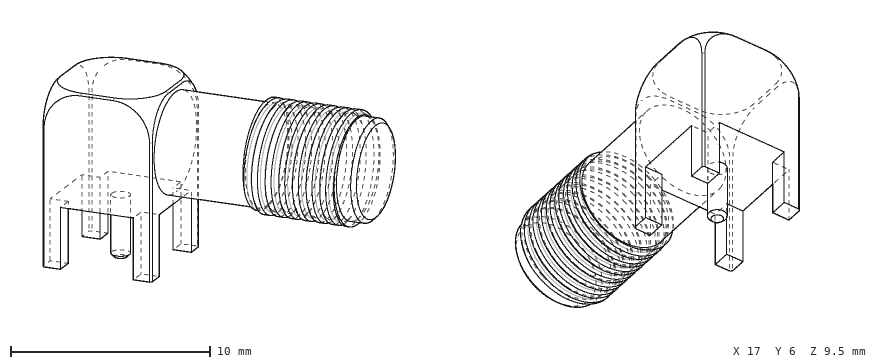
import cadquery as cq
import math

total_length = 17.0
total_height = 9.5
body_width = 6.0
body_center_x = body_width / 2

edge_inset = 0.11
face_arc_radius = 1.99
arc_center_inset = edge_inset + face_arc_radius
rounding_radius = math.hypot(arc_center_inset, face_arc_radius)

leg_width = 1.0
leg_length = 3.3
leg_gap = body_width - 2 * leg_width
pin_diameter = 1.0
pin_chamfer = 0.19

barrel_diameter = 5.35
barrel_axis_z = total_height - body_width / 2
barrel_chamfer = 0.22

thread_start_x = 11.0
thread_length = 5.0
thread_diameter = 5.93
thread_root_diameter = 5.47
thread_pitch = 0.75
groove_offset = 0.076
groove_top_width = 0.42
flank_angle = math.radians(30)
groove_overcut = 0.07


def make_body():
    """Square block whose upper and upright edges are trimmed by a larger rounded block."""
    block = cq.Workplane("XY").box(body_width, body_width, total_height, centered=(True, True, False))
    overhang = rounding_radius - arc_center_inset
    envelope_width = body_width + 2 * overhang
    envelope = (
        cq.Workplane("XY")
        .box(envelope_width, envelope_width, total_height + overhang, centered=(True, True, False))
        .edges("|Z or >Z")
        .fillet(rounding_radius)
    )
    return block.intersect(envelope).translate((body_center_x, 0, 0))


def cut_leg_gaps(body):
    """Two crossing slots leave a leg at each corner."""
    for size_x, size_y in ((body_width, leg_gap), (leg_gap, body_width)):
        slot = cq.Workplane("XY").box(size_x, size_y, leg_length, centered=(True, True, False))
        body = body.cut(slot.translate((body_center_x, 0, 0)))
    return body


def make_pin():
    return (
        cq.Workplane("XY")
        .center(body_center_x, 0)
        .circle(pin_diameter / 2)
        .extrude(leg_length)
        .faces("<Z")
        .chamfer(pin_chamfer)
    )


def make_barrel():
    return (
        cq.Workplane("YZ", origin=(body_center_x, 0, barrel_axis_z))
        .circle(barrel_diameter / 2)
        .extrude(total_length - body_center_x)
        .faces(">X")
        .chamfer(barrel_chamfer)
    )


def make_thread():
    """Bar with a helical groove, trimmed to the threaded length; modeled along Z and turned to X."""
    crest_radius = thread_diameter / 2
    root_radius = thread_root_diameter / 2
    outer_radius = crest_radius + groove_overcut
    depth = crest_radius - root_radius

    flank_slope = math.tan(flank_angle)
    half_crest = groove_top_width / 2
    half_outer = half_crest + groove_overcut * flank_slope
    sharp_root_drop = half_crest / flank_slope - depth
    root_arc_radius = sharp_root_drop / (1 / math.sin(flank_angle) - 1)
    half_root = root_arc_radius * math.cos(flank_angle)
    arc_edge_radius = root_radius + root_arc_radius * (1 - math.sin(flank_angle))

    start_z = groove_offset - thread_pitch
    turns = math.ceil(thread_length / thread_pitch) + 1
    helix_length = turns * thread_pitch
    path = cq.Wire.makeHelix(
        thread_pitch, helix_length, root_radius, center=cq.Vector(0, 0, start_z), lefthand=True
    )
    groove = (
        cq.Workplane("XZ")
        .moveTo(outer_radius, start_z - half_outer)
        .lineTo(outer_radius, start_z + half_outer)
        .lineTo(arc_edge_radius, start_z + half_root)
        .threePointArc((root_radius, start_z), (arc_edge_radius, start_z - half_root))
        .close()
        .sweep(cq.Workplane(path), isFrenet=True)
    )

    bar_start = start_z - thread_pitch
    bar_length = helix_length + 2 * thread_pitch
    bar = cq.Workplane("XY", origin=(0, 0, bar_start)).circle(crest_radius).extrude(bar_length)
    trim = cq.Workplane("XY").circle(thread_diameter).extrude(thread_length)
    thread = bar.cut(groove).intersect(trim).rotate((0, 0, 0), (0, 1, 0), 90)
    return thread.translate((thread_start_x, 0, barrel_axis_z))


result = cut_leg_gaps(make_body()).union(make_pin()).union(make_barrel()).union(make_thread())